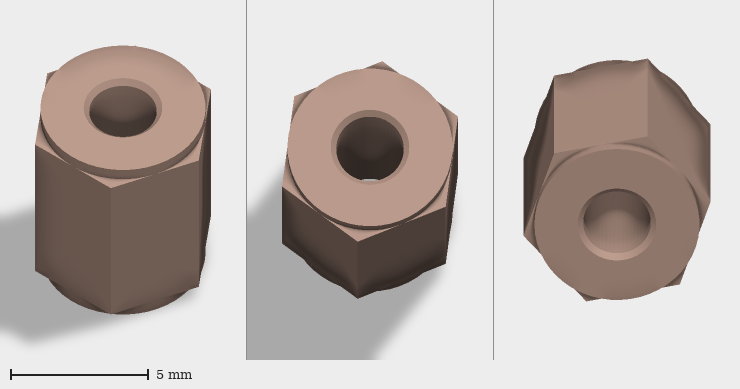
import cadquery as cq
import math

length = 8.0
across_flats = 6.0
collar_height = 0.5
bore_diameter = 2.46
bore_chamfer = 0.2

across_corners = across_flats / math.cos(math.radians(30))
hex_height = length - 2 * collar_height

core = cq.Workplane("XY").circle(across_flats / 2).extrude(length)

hex_body = (
    cq.Workplane("XY")
    .workplane(offset=collar_height)
    .polygon(6, across_corners)
    .extrude(hex_height)
)

bore = cq.Workplane("XY").circle(bore_diameter / 2).extrude(length)
mouth_diameter = bore_diameter + 2 * bore_chamfer
bottom_mouth = cq.Workplane(
    cq.Solid.makeCone(mouth_diameter / 2, bore_diameter / 2, bore_chamfer)
)
top_mouth = bottom_mouth.mirror("XY").translate((0, 0, length))

result = core.union(hex_body).cut(bore).cut(bottom_mouth).cut(top_mouth)